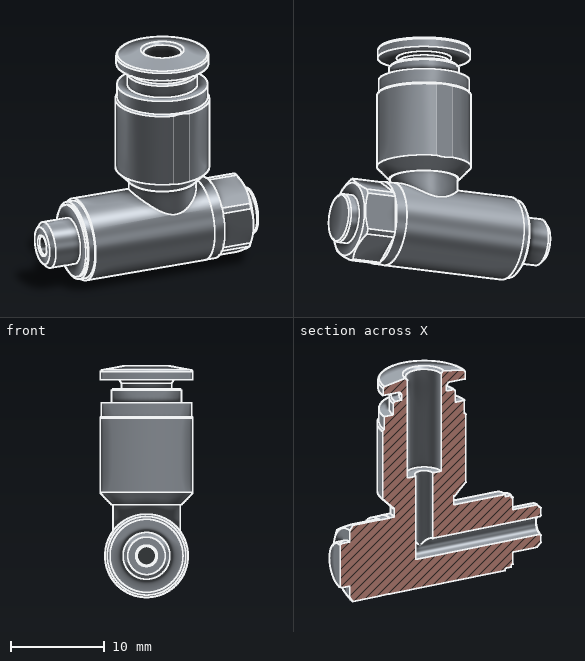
import cadquery as cq
import math


body_dia = 8.9
body_back = 4.15
body_front = -9.73
collar_dia = 8.85
collar_back = 5.35
nut_back = 8.93
nut_across_flats = 8.0
nut_end_dia = 7.8
nut_bevel = 0.37
back_stub_dia = 5.2
back_stub_end = 10.12
back_stub_chamfer_length = 0.25
back_stub_chamfer_depth = 0.12
seal_dia = 8.4
seal_front = -10.45
washer_dia = 7.8
washer_front = -10.67
screw_dia = 5.0
screw_tip_dia = 4.0
screw_end = -14.03
screw_chamfer = (screw_dia - screw_tip_dia) / 2

stem_dia = 7.2
cone_bottom = 5.42
cone_bottom_dia = 7.42
housing_dia = 10.07
housing_flats = 9.9
housing_bottom = 6.78
housing_top = 14.85
housing_chamfer = 0.2
cap_dia = 9.7
cap_top = 16.34
sleeve_dia = 7.5
sleeve_top = 17.85
sleeve_chamfer = 0.2
neck_dia = 5.4
flare_bottom = 18.41
flare_dia = 5.87
flange_dia = 9.9
flange_bottom = 18.75
flange_edge_top = 19.63
flange_bevel_width = 0.15
flange_bevel_height = 0.2
branch_top = 20.3

passage_dia = 2.0
passage_chamfer = 0.15
tube_bore_dia = 4.0
tube_bore_mouth_dia = 4.6
tube_bore_bottom = 8.66
mouth_chamfer = (tube_bore_mouth_dia - tube_bore_dia) / 2


def run_cylinder(diameter, y_start, y_end):
    """Cylinder on the Y axis between two Y positions."""
    section = cq.Workplane("XZ", origin=(0, y_end, 0)).circle(diameter / 2)
    return section.extrude(y_end - y_start)


def make_run():
    """Stepped run of round sections."""
    stub = run_cylinder(back_stub_dia, collar_back, back_stub_end)
    screw = run_cylinder(screw_dia, screw_end, body_front)
    return (
        run_cylinder(body_dia, body_front, body_back)
        .union(run_cylinder(collar_dia, body_back, collar_back))
        .union(run_cylinder(seal_dia, seal_front, body_front))
        .union(run_cylinder(washer_dia, washer_front, seal_front))
        .union(stub.faces(">Y").chamfer(back_stub_chamfer_length, back_stub_chamfer_depth))
        .union(screw.faces("<Y").chamfer(screw_chamfer))
    )


def make_nut():
    """Hexagon with its corners rounded to the body diameter and bevelled at the back."""
    across_corners = nut_across_flats / math.cos(math.radians(30))
    hexagon = (
        cq.Workplane("XZ", origin=(0, nut_back, 0))
        .transformed(rotate=(0, 0, 90))
        .polygon(6, across_corners)
        .extrude(nut_back - collar_back)
    )
    envelope = (
        cq.Workplane("XY")
        .moveTo(0, collar_back)
        .lineTo(body_dia / 2, collar_back)
        .lineTo(body_dia / 2, nut_back - nut_bevel)
        .lineTo(nut_end_dia / 2, nut_back)
        .lineTo(0, nut_back)
        .close()
        .revolve(360, (0, 0, 0), (0, 1, 0))
    )
    return hexagon.intersect(envelope)


def make_branch():
    """Revolved branch, with two narrow flats on the sides of the housing."""
    profile = [
        (0, 0),
        (stem_dia / 2, 0),
        (stem_dia / 2, cone_bottom),
        (cone_bottom_dia / 2, cone_bottom),
        (housing_dia / 2, housing_bottom),
        (housing_dia / 2, housing_top - housing_chamfer),
        (cap_dia / 2, housing_top),
        (cap_dia / 2, cap_top),
        (sleeve_dia / 2, cap_top),
        (sleeve_dia / 2, sleeve_top - sleeve_chamfer),
        (sleeve_dia / 2 - sleeve_chamfer, sleeve_top),
        (neck_dia / 2, sleeve_top),
        (neck_dia / 2, flare_bottom),
        (flare_dia / 2, flange_bottom),
        (flange_dia / 2, flange_bottom),
        (flange_dia / 2, flange_edge_top),
        (flange_dia / 2 - flange_bevel_width, flange_edge_top + flange_bevel_height),
        (tube_bore_mouth_dia / 2, branch_top),
        (0, branch_top),
    ]
    branch = cq.Workplane("XZ").polyline(profile).close().revolve(360, (0, 0, 0), (0, 1, 0))
    flats = cq.Workplane("XY").rect(housing_flats, 2 * housing_dia).extrude(branch_top)
    return branch.intersect(flats)


def make_passages():
    """Tube bore from the top, joined at a right angle to the bore from the screw tip."""
    tube_bore = (
        cq.Workplane("XY", origin=(0, 0, tube_bore_bottom))
        .circle(tube_bore_dia / 2)
        .extrude(branch_top - tube_bore_bottom)
    )
    mouth = (
        cq.Workplane("XY", origin=(0, 0, branch_top))
        .circle(tube_bore_mouth_dia / 2)
        .workplane(offset=-mouth_chamfer)
        .circle(tube_bore_dia / 2)
        .loft(ruled=True)
    )
    down = cq.Workplane("XY").circle(passage_dia / 2).extrude(tube_bore_bottom)
    along = run_cylinder(passage_dia, screw_end, passage_dia / 2)
    tip_mouth = (
        cq.Workplane("XZ", origin=(0, screw_end, 0))
        .circle(passage_dia / 2 + passage_chamfer)
        .workplane(offset=-passage_chamfer)
        .circle(passage_dia / 2)
        .loft(ruled=True)
    )
    return tube_bore.union(mouth).union(down).union(along).union(tip_mouth)


result = make_run().union(make_nut()).union(make_branch()).cut(make_passages())